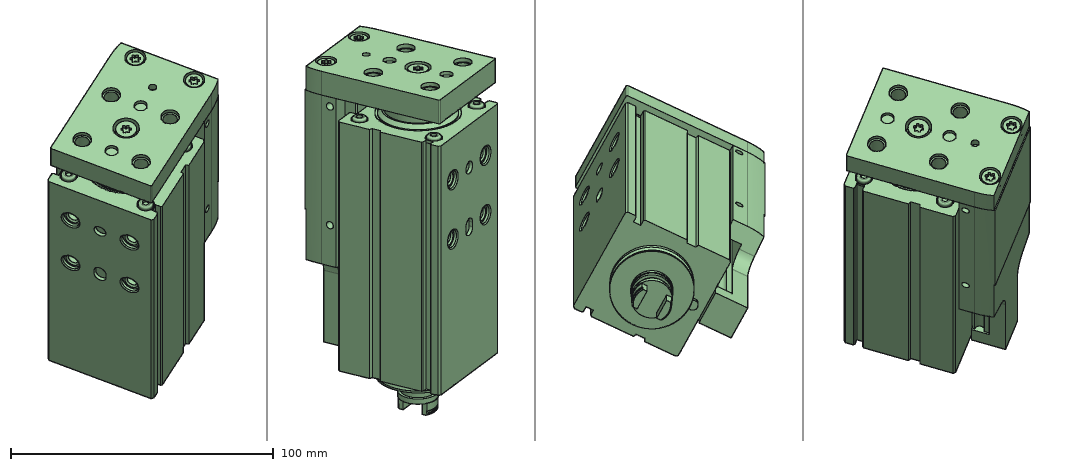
import cadquery as cq
import math


housing_width = 45.0
housing_height = 105.0
housing_corner = 0.8
hole_pitch = 25.0

wide_groove_top = 8.4
wide_groove_bottom = 3.7
wide_groove_depth = 1.2
wide_groove_slope = 0.5
slot_top = -14.9
slot_bottom = -18.0
slot_depth = 2.7
slot_chamfer = 0.5

mount_z_low = 62.0
sleeve_dia = 7.0
sleeve_depth = 1.6
sleeve_mouth_dia = 8.0
thread_dia = 4.13
thread_mouth_dia = 5.5
thread_depth = 8.0
drill_point_angle = 118.0
drill_point_height = thread_dia / 2 / math.tan(math.radians(drill_point_angle / 2))
dowel_dia = 5.0
dowel_depth = 1.5
dowel_slot_length = 7.0

collar_top_dia = 28.0
collar_base_dia = 31.0
collar_relief_dia = 33.0
collar_relief_depth = 0.5
collar_height = 1.7
cap_screw_offset = 16.35
cap_screw_dia = 5.7
cap_screw_bore = 6.62
cap_screw_sink = 1.3
cap_screw_rise = 1.1
cap_screw_crown = 3.8
cap_screw_bulge = 0.75
cap_screw_socket = 2.5
cap_screw_socket_depth = 1.2

flange_radius = 16.1
flange_neck_radius = 15.3
coupling_radius = 7.8
shoulder_radius = 8.1
coupling_neck_radius = 13.25 / 2
flange_rim_z = -1.7
flange_neck_z = -2.6
flange_step_radius = 15.7
flange_step_z = -3.9
flange_cone_z = -4.9
flange_bottom_z = -5.7
shoulder_z = -7.3
coupling_top_z = -9.0
coupling_neck_z = -12.2
coupling_bottom_z = -14.4
claw_tip_z = -19.7
claw_gap = 8.4
claw_width = 8.3
claw_radius = 7.6
claw_chamfer = 0.5
claw_groove_top_z = -17.9
claw_groove_bottom_z = -18.7
claw_groove_depth = 0.3
plug_dia = 4.13
plug_y = 17.5

rod_dia = 26.5
rod_engagement = 10.0
rod_chamfer = 0.4

yoke_bottom = 114.0
yoke_thickness = 10.0
yoke_top = yoke_bottom + yoke_thickness
half_width = 21.5
yoke_front = -21.8
yoke_back = 37.5
yoke_corner = 0.5
flank_start = 30.0
flank_radius = 31.7
yoke_sleeve_depth = 1.6
yoke_thread_dia = 5.5
slide_screw_y = 33.2
slide_screw_bore = 8.0
slide_screw_head = 6.62
rod_screw_bore = 10.0
rod_screw_head = 8.0
screw_head_drop = 0.5
screw_gap_depth = 5.0
torx_lobes = 6
torx_lobe_radius = 0.5
torx_lobe_circle = 1.5
torx_core_radius = 1.4
torx_depth = 1.5
pilot_y = 22.8
pilot_dia = 3.0
pilot_depth = 3.0
pilot_inner_dia = 1.3
pilot_inner_depth = 6.0

slide_front = 23.7
slide_back = 38.0
slide_bottom = 2.2
slide_shoulder_z = 42.8
shoulder_slope = math.radians(17)
tail_half_width = 7.0
tail_fillet = 8.0
relief_top = 63.8
channel_half_width = 14.6
channel_floor = 30.9
channel_end = 9.2
side_hole_dia = 3.0
side_hole_y = 26.4
side_hole_z = (60.0, 110.0)

rail_half_width = 6.5
rail_front = 23.8
rail_end_gap = 0.3
ball_groove_y = 26.8
ball_groove_radius = 1.9
carriage_half_width = 13.0
carriage_front = 19.5
carriage_back = 29.5
carriage_bottom = 63.0
carriage_top = 110.6
carriage_chamfer = 0.6

corner_signs = [(sx, sy) for sx in (-1, 1) for sy in (-1, 1)]


def box(x0, x1, y0, y1, z0, z1):
    return cq.Workplane("XY").box(x1 - x0, y1 - y0, z1 - z0, centered=False).translate((x0, y0, z0))


def cylinder(dia, x, y, z0, z1):
    return cq.Workplane("XY", origin=(x, y, z0)).circle(dia / 2).extrude(z1 - z0)


def revolved(points):
    """Solid of revolution about Z from (radius, z) points."""
    return cq.Workplane("XZ").polyline(points).close().revolve(360, (0, 0, 0), (0, 1, 0))


def side_grooves(side):
    """Wide groove and narrow slot along one side: -1 for the -X side, +1 for the +X side."""
    face = side * housing_width / 2
    wide_floor = face - side * wide_groove_depth
    slot_floor = face - side * slot_depth
    slot_lip = face - side * slot_chamfer
    wide = cq.Workplane("XY").polyline([
        (face, wide_groove_top),
        (wide_floor, wide_groove_top - wide_groove_slope),
        (wide_floor, wide_groove_bottom + wide_groove_slope),
        (face, wide_groove_bottom),
    ]).close().extrude(housing_height)
    slot = cq.Workplane("XY").polyline([
        (face, slot_top + slot_chamfer),
        (slot_lip, slot_top),
        (slot_floor, slot_top),
        (slot_floor, slot_bottom),
        (slot_lip, slot_bottom),
        (face, slot_bottom - slot_chamfer),
    ]).close().extrude(housing_height)
    return wide.union(slot)


def mounting_hole():
    """Sleeve seat, thread and drill point, opening at Z = 0 and going down."""
    mouth_depth = (sleeve_mouth_dia - sleeve_dia) / 2
    thread_mouth_depth = (thread_mouth_dia - thread_dia) / 2
    return revolved([
        (0, 0),
        (sleeve_mouth_dia / 2, 0),
        (sleeve_dia / 2, -mouth_depth),
        (sleeve_dia / 2, -sleeve_depth),
        (thread_mouth_dia / 2, -sleeve_depth),
        (thread_dia / 2, -sleeve_depth - thread_mouth_depth),
        (thread_dia / 2, -thread_depth),
        (0, -thread_depth - drill_point_height),
    ])


def cut_front_holes(body):
    front = -housing_width / 2
    mount_z_high = mount_z_low + hole_pitch
    hole = mounting_hole().rotate((0, 0, 0), (1, 0, 0), 90)
    for x in (-hole_pitch / 2, hole_pitch / 2):
        for z in (mount_z_low, mount_z_high):
            body = body.cut(hole.translate((x, front, z)))
    face = cq.Workplane("XZ", origin=(0, front, 0))
    dowel = face.center(0, mount_z_high).circle(dowel_dia / 2).extrude(-dowel_depth)
    slot = face.center(0, mount_z_low).slot2D(dowel_slot_length, dowel_dia, 90).extrude(-dowel_depth)
    return body.cut(dowel).cut(slot)


def cap_screw():
    """Button head with a socket, with Z = 0 at the housing top."""
    radius = cap_screw_dia / 2
    crown_radius = cap_screw_crown / 2
    head = (
        cq.Workplane("XZ")
        .moveTo(0, -cap_screw_sink)
        .lineTo(radius, -cap_screw_sink)
        .lineTo(radius, 0)
        .threePointArc(
            (crown_radius + cap_screw_bulge * (radius - crown_radius), cap_screw_bulge * cap_screw_rise),
            (crown_radius, cap_screw_rise),
        )
        .lineTo(0, cap_screw_rise)
        .close()
        .revolve(360, (0, 0, 0), (0, 1, 0))
    )
    socket_floor = cap_screw_rise - cap_screw_socket_depth
    return head.cut(cylinder(cap_screw_socket, 0, 0, socket_floor, cap_screw_rise))


def motor_flange():
    """Bearing flange, stepped coupling hub, and the plug beside the flange."""
    turned = revolved([
        (0, 0),
        (flange_radius, 0),
        (flange_radius, flange_rim_z),
        (flange_neck_radius, flange_neck_z),
        (flange_step_radius, flange_step_z),
        (flange_radius, flange_cone_z),
        (flange_radius, flange_bottom_z),
        (shoulder_radius, flange_bottom_z),
        (shoulder_radius, shoulder_z),
        (coupling_radius, shoulder_z),
        (coupling_radius, coupling_top_z),
        (coupling_neck_radius, coupling_top_z),
        (coupling_neck_radius, coupling_neck_z),
        (coupling_radius, coupling_neck_z),
        (coupling_radius, coupling_bottom_z),
        (0, coupling_bottom_z),
    ])
    return turned.union(cylinder(plug_dia, 0, plug_y, flange_rim_z, 0))


def coupling_claws():
    """Two claws cut from a turned pin, one on each side of the axis in Y."""
    groove_radius = claw_radius - claw_groove_depth
    pin = revolved([
        (0, coupling_bottom_z),
        (claw_radius, coupling_bottom_z),
        (claw_radius, claw_groove_top_z),
        (groove_radius, claw_groove_top_z),
        (groove_radius, claw_groove_bottom_z),
        (claw_radius, claw_groove_bottom_z),
        (claw_radius, claw_tip_z + claw_chamfer),
        (claw_radius - claw_chamfer, claw_tip_z),
        (0, claw_tip_z),
    ])
    half = claw_width / 2
    claws = []
    for side in (-1, 1):
        y0, y1 = sorted((side * claw_gap / 2, side * claw_radius))
        claws.append(pin.intersect(box(-half, half, y0, y1, claw_tip_z, coupling_bottom_z)))
    return claws


def make_housing():
    body = cq.Workplane("XY").rect(housing_width, housing_width).extrude(housing_height)
    body = body.edges("|Z").chamfer(housing_corner)
    for side in (-1, 1):
        body = body.cut(side_grooves(side))
    body = cut_front_holes(body)
    collar = revolved([
        (0, housing_height),
        (collar_base_dia / 2, housing_height),
        (collar_top_dia / 2, housing_height + collar_height),
        (0, housing_height + collar_height),
    ])
    relief = cylinder(collar_relief_dia, 0, 0, housing_height - collar_relief_depth, housing_height)
    relief = relief.cut(cylinder(collar_base_dia, 0, 0, 0, housing_height))
    body = body.cut(relief).union(collar).union(motor_flange())
    for claw in coupling_claws():
        body = body.union(claw)
    screw = cap_screw()
    for sx, sy in corner_signs:
        x = sx * cap_screw_offset
        y = sy * cap_screw_offset
        body = body.cut(cylinder(cap_screw_bore, x, y, housing_height - cap_screw_sink, housing_height))
        body = body.union(screw.translate((x, y, housing_height)))
    rod_bore = cylinder(rod_dia, 0, 0, housing_height - rod_engagement, housing_height + collar_height)
    return body.cut(rod_bore).cut(carriage_block())


def make_rod():
    rod = cylinder(rod_dia, 0, 0, housing_height - rod_engagement, yoke_bottom)
    return rod.faces(">Z").chamfer(rod_chamfer)


def flank_outline(front, back):
    """Closed outline whose sides curve inwards from flank_start to the back edge."""
    def flank_x(y):
        return half_width - flank_radius + math.sqrt(flank_radius ** 2 - (y - flank_start) ** 2)

    middle = (flank_start + back) / 2
    return (
        cq.Workplane("XY")
        .moveTo(-half_width, front)
        .lineTo(half_width, front)
        .lineTo(half_width, flank_start)
        .threePointArc((flank_x(middle), middle), (flank_x(back), back))
        .lineTo(-flank_x(back), back)
        .threePointArc((-flank_x(middle), middle), (-half_width, flank_start))
        .close()
    )


def screw_recess(bore, head, x, y):
    """Counterbore leaving a screw head with a six-lobe socket standing in it."""
    head_top = yoke_top - screw_head_drop
    recess = cylinder(bore, x, y, yoke_top - screw_gap_depth, yoke_top)
    recess = recess.cut(cylinder(head, x, y, yoke_top - screw_gap_depth, head_top))
    recess = recess.union(cylinder(2 * torx_core_radius, x, y, head_top - torx_depth, head_top))
    for i in range(torx_lobes):
        angle = math.radians(90 + i * 360 / torx_lobes)
        lobe_x = x + torx_lobe_circle * math.cos(angle)
        lobe_y = y + torx_lobe_circle * math.sin(angle)
        recess = recess.union(
            cylinder(2 * torx_lobe_radius, lobe_x, lobe_y, head_top - torx_depth, head_top)
        )
    return recess


def make_yoke():
    yoke = flank_outline(yoke_front, yoke_back).extrude(yoke_thickness)
    yoke = yoke.translate((0, 0, yoke_bottom))
    yoke = yoke.edges("|Z and <Y").fillet(yoke_corner)
    half_pitch = hole_pitch / 2
    for sx, sy in corner_signs:
        x = sx * half_pitch
        y = sy * half_pitch
        yoke = yoke.cut(cylinder(sleeve_dia, x, y, yoke_top - yoke_sleeve_depth, yoke_top))
        yoke = yoke.cut(cylinder(yoke_thread_dia, x, y, yoke_bottom, yoke_top))
    for y in (-half_pitch, half_pitch):
        yoke = yoke.cut(cylinder(dowel_dia, 0, y, yoke_top - dowel_depth, yoke_top))
    for x in (-half_pitch, half_pitch):
        yoke = yoke.cut(screw_recess(slide_screw_bore, slide_screw_head, x, slide_screw_y))
    yoke = yoke.cut(screw_recess(rod_screw_bore, rod_screw_head, 0, 0))
    yoke = yoke.cut(cylinder(pilot_dia, 0, pilot_y, yoke_top - pilot_depth, yoke_top))
    return yoke.cut(cylinder(pilot_inner_dia, 0, pilot_y, yoke_top - pilot_inner_depth, yoke_top))


def slide_side_outline():
    """Outline in XZ: full width on top, sloping in and filleted into a narrow tail."""
    arc_top_x = tail_half_width + tail_fillet * (1 - math.sin(shoulder_slope))
    arc_top_z = slide_shoulder_z - (half_width - arc_top_x) * math.tan(shoulder_slope)
    arc_end_z = arc_top_z - tail_fillet * math.cos(shoulder_slope)
    middle_angle = (math.pi / 2 - shoulder_slope) / 2
    arc_x = tail_half_width + tail_fillet * (1 - math.cos(middle_angle))
    arc_z = arc_end_z + tail_fillet * math.sin(middle_angle)
    return (
        cq.Workplane("XZ")
        .moveTo(-half_width, yoke_bottom)
        .lineTo(-half_width, slide_shoulder_z)
        .lineTo(-arc_top_x, arc_top_z)
        .threePointArc((-arc_x, arc_z), (-tail_half_width, arc_end_z))
        .lineTo(-tail_half_width, slide_bottom)
        .lineTo(tail_half_width, slide_bottom)
        .lineTo(tail_half_width, arc_end_z)
        .threePointArc((arc_x, arc_z), (arc_top_x, arc_top_z))
        .lineTo(half_width, slide_shoulder_z)
        .lineTo(half_width, yoke_bottom)
        .close()
    )


def make_slide():
    slide = flank_outline(slide_front, slide_back).extrude(yoke_bottom)
    slide = slide.intersect(slide_side_outline().extrude(-slide_back))
    slide = slide.cut(box(-half_width, half_width, yoke_back, slide_back, slide_bottom, relief_top))
    slide = slide.cut(
        box(-channel_half_width, channel_half_width, slide_front, channel_floor, channel_end, yoke_bottom)
    )
    for z in side_hole_z:
        hole = cq.Workplane("YZ").center(side_hole_y, z).circle(side_hole_dia / 2)
        slide = slide.cut(hole.extrude(half_width, both=True))
    return slide


def make_rail():
    bottom = channel_end + rail_end_gap
    top = yoke_bottom - rail_end_gap
    rail = box(-rail_half_width, rail_half_width, rail_front, channel_floor, bottom, top)
    for side in (-1, 1):
        x = side * rail_half_width
        rail = rail.cut(cylinder(2 * ball_groove_radius, x, ball_groove_y, bottom, top))
    return rail


def carriage_block():
    block = box(-carriage_half_width, carriage_half_width,
                carriage_front, carriage_back, carriage_bottom, carriage_top)
    return block.edges("|Z and <Y").chamfer(carriage_chamfer)


def make_carriage():
    return carriage_block().cut(make_rail())


housing = make_housing()
rod = make_rod()
yoke = make_yoke()
slide = make_slide()
rail = make_rail()
carriage = make_carriage()

result = cq.Compound.makeCompound([
    housing.val(),
    rod.val(),
    yoke.val(),
    slide.val(),
    rail.val(),
    carriage.val(),
])